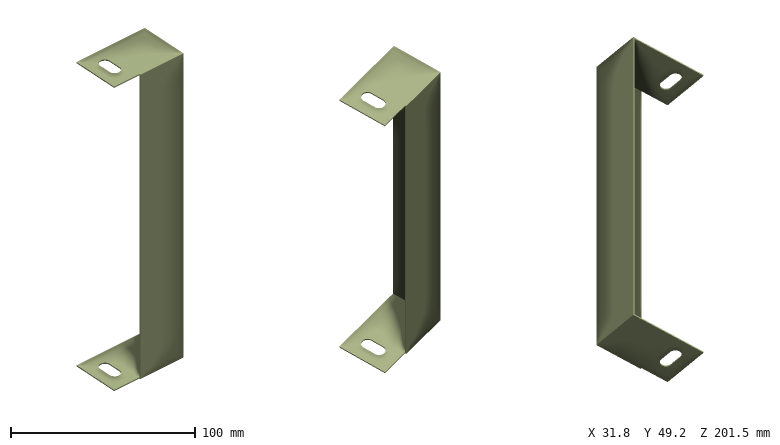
import cadquery as cq

height = 201.5
depth = 49.2
sheet = 0.8
wall_width = 31.0
side_depth = 31.0
slot_length = 15.0
slot_width = 7.0
slot_x = 15.0
slot_from_front = 10.9



def block(x_size, y_size, z_size, x, y, z):
    """Box with its lowest corner at (x, y, z)."""
    return cq.Workplane("XY").box(x_size, y_size, z_size, centered=False).translate((x, y, z))


back_wall = block(wall_width, sheet, height, 0, depth - sheet, 0)
side_wall = block(sheet, side_depth, height, wall_width, depth - side_depth, 0)
bracket = back_wall.union(side_wall)

for plate_z in (0, height - sheet):
    bracket = bracket.union(block(wall_width, depth, sheet, 0, 0, plate_z))

slots = (
    cq.Workplane("XY")
    .center(slot_x, slot_from_front)
    .slot2D(slot_length, slot_width)
    .extrude(height)
)

result = bracket.cut(slots)